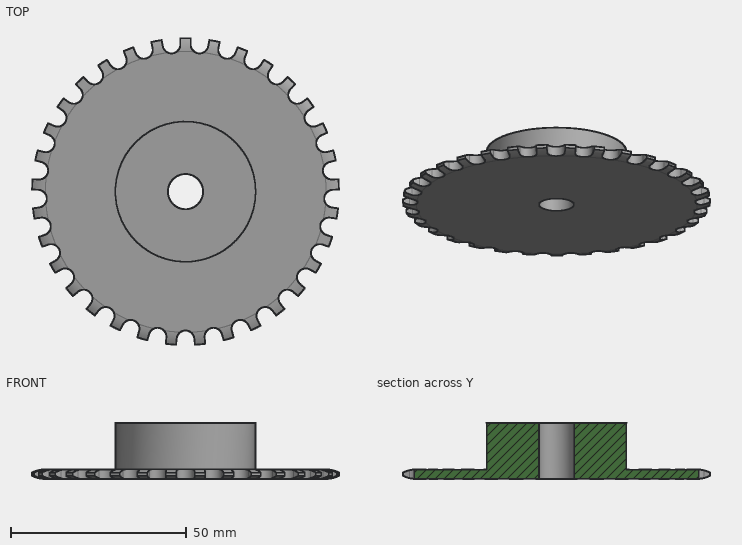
import cadquery as cq
import math

tooth_count = 33
tip_diameter = 87.5
pitch_diameter = 84.2
roller_diameter = 5.0
plate_thickness = 2.8
plate_face_diameter = 80.0
tooth_flank_radius = 8.0
hub_diameter = 40.0
total_height = 16.0
bore_diameter = 10.0

tip_radius = tip_diameter / 2
pitch_radius = pitch_diameter / 2
roller_radius = roller_diameter / 2
plate_face_radius = plate_face_diameter / 2
pitch_angle = 360 / tooth_count
half_pitch_angle = math.radians(pitch_angle / 2)
half_thickness = plate_thickness / 2
cutter_radius = tip_radius + roller_radius


def flank_point(radius):
    """Radius and height above mid-plane on the arc tangent to the plate face."""
    run = radius - plate_face_radius
    drop = tooth_flank_radius - math.sqrt(tooth_flank_radius**2 - run**2)
    return radius, half_thickness - drop


def mirrored(point):
    """Reflect a profile point across the mid-plane of the plate."""
    return point[0], -point[1]


def make_blank():
    """Disc whose rim narrows toward the tip along two convex arcs."""
    face_edge = (plate_face_radius, half_thickness)
    flank_middle = flank_point((plate_face_radius + tip_radius) / 2)
    tip_edge = flank_point(tip_radius)
    return (
        cq.Workplane("XZ")
        .moveTo(0, -half_thickness)
        .lineTo(*mirrored(face_edge))
        .threePointArc(mirrored(flank_middle), mirrored(tip_edge))
        .lineTo(*tip_edge)
        .threePointArc(flank_middle, face_edge)
        .lineTo(0, half_thickness)
        .close()
        .revolve(360, (0, 0, 0), (0, 1, 0))
        .translate((0, 0, half_thickness))
    )


def make_gap_cutter():
    """Roller seat on +Y, with walls parallel to the centre lines of the two adjacent teeth."""
    seat_x = roller_radius * math.cos(half_pitch_angle)
    seat_y = pitch_radius - roller_radius * math.sin(half_pitch_angle)
    mouth_x = seat_x + (cutter_radius - seat_y) * math.tan(half_pitch_angle)
    return (
        cq.Workplane("XY")
        .moveTo(-mouth_x, cutter_radius)
        .lineTo(-seat_x, seat_y)
        .threePointArc((0, pitch_radius - roller_radius), (seat_x, seat_y))
        .lineTo(mouth_x, cutter_radius)
        .close()
        .extrude(plate_thickness)
    )


def cut_tooth_gaps(blank):
    """Cut every gap, leaving one tooth centred on +Y and one gap centred on -Y."""
    cutter = make_gap_cutter()
    for index in range(tooth_count):
        angle = (index + 0.5) * pitch_angle
        blank = blank.cut(cutter.rotate((0, 0, 0), (0, 0, 1), angle))
    return blank


def make_hub():
    """Cylindrical hub rising from the underside of the plate."""
    return cq.Workplane("XY").circle(hub_diameter / 2).extrude(total_height)


def make_bore():
    """Through bore along the axis."""
    return cq.Workplane("XY").circle(bore_diameter / 2).extrude(total_height)


result = cut_tooth_gaps(make_blank()).union(make_hub()).cut(make_bore())